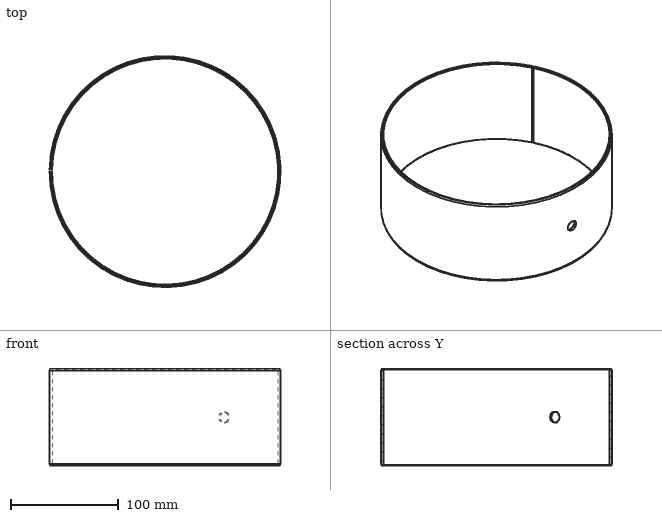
import cadquery as cq

outer_diameter = 215.0
height = 90.0
wall = 2.5
bevel_height = 2.0
bevel_depth = 0.73
inner_chamfer = 0.9
slit_angle = 1.0
hole_diameter = 10.0
hole_angle = 59.0

outer_radius = outer_diameter / 2
inner_radius = outer_radius - wall
outer_rim_radius = outer_radius - bevel_depth
inner_rim_radius = inner_radius + inner_chamfer


def make_band():
    """Revolve the wall section from -X almost all the way round, leaving the slit."""
    section = [
        (-inner_radius, inner_chamfer),
        (-inner_rim_radius, 0),
        (-outer_rim_radius, 0),
        (-outer_radius, bevel_height),
        (-outer_radius, height - bevel_height),
        (-outer_rim_radius, height),
        (-inner_rim_radius, height),
        (-inner_radius, height - inner_chamfer),
    ]
    profile = cq.Workplane("XZ").polyline(section).close()
    return profile.revolve(360 - slit_angle, (0, 0), (0, 1))


def make_radial_hole():
    """Hole through one wall at mid-height, running outwards from the axis."""
    return (
        cq.Workplane("YZ")
        .center(0, height / 2)
        .circle(hole_diameter / 2)
        .extrude(outer_diameter)
        .rotate((0, 0, 0), (0, 0, 1), hole_angle)
    )


result = make_band().cut(make_radial_hole())